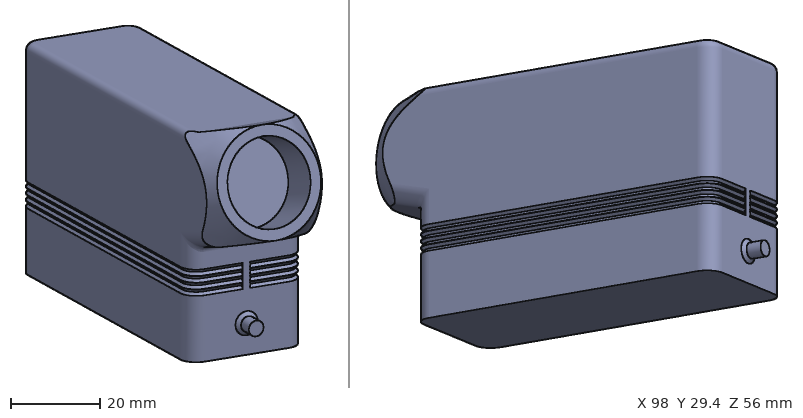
import cadquery as cq
import math

BODY_LENGTH = 79.6
BODY_WIDTH = 29.4
BODY_HEIGHT = 54.0
SIDE_RADIUS = 4.0
TOP_RADIUS = 2.0
NECK_CORNER_RADIUS = 1.6

PEG_RADIUS = 1.9
PEG_LENGTH = 4.5
PEG_HEIGHT = 7.4
PEG_ROOT_RADIUS = 2.8
PEG_ROOT_LENGTH = 0.8

OVERALL_LENGTH = 98.0
OVERALL_HEIGHT = 56.0
NECK_TILT = math.radians(15)
MOUTH_DIAMETER = 26.2
BORE_DIAMETER = 21.0
CONE_HALF_ANGLE = math.radians(32)
CONE_CUT_LENGTH = 11.8
CONE_CUT_RADIUS = 21.6

GROOVE_COUNT = 4
GROOVE_PITCH = 1.6
GROOVE_WIDTH = 1.5
GROOVE_DEPTH = 0.6
BAND_BOTTOM = 15.6
BAND_GAP = 1.9

half_length = BODY_LENGTH / 2
half_width = BODY_WIDTH / 2
slope = math.tan(NECK_TILT)

mouth_low_x = OVERALL_LENGTH - PEG_LENGTH - half_length
mouth_low_z = OVERALL_HEIGHT - MOUTH_DIAMETER * math.cos(NECK_TILT)
mouth_high_x = mouth_low_x - MOUTH_DIAMETER * math.sin(NECK_TILT)
mouth_x = (mouth_low_x + mouth_high_x) / 2
mouth_z = (mouth_low_z + OVERALL_HEIGHT) / 2

top_bend_x = mouth_high_x - (OVERALL_HEIGHT - BODY_HEIGHT) / slope
neck_corner_z = mouth_low_z - (mouth_low_x - half_length) * slope

bore_depth = (mouth_x - half_length) / math.cos(NECK_TILT)

mouth_plane = cq.Plane(
    origin=(mouth_x, 0, mouth_z),
    xDir=(0, 1, 0),
    normal=(math.cos(NECK_TILT), 0, math.sin(NECK_TILT)),
)


def make_shell():
    """Side outline with the neck, extruded across the width and rounded."""
    shell = (
        cq.Workplane("XZ")
        .moveTo(-half_length, 0)
        .lineTo(half_length, 0)
        .lineTo(half_length, neck_corner_z)
        .lineTo(mouth_low_x, mouth_low_z)
        .lineTo(mouth_high_x, OVERALL_HEIGHT)
        .lineTo(top_bend_x, BODY_HEIGHT)
        .lineTo(-half_length, BODY_HEIGHT)
        .close()
        .extrude(half_width, both=True)
    )
    neck_direction = cq.Vector(math.cos(NECK_TILT), 0, math.sin(NECK_TILT))
    along_neck = cq.selectors.ParallelDirSelector(neck_direction)
    below_mouth = cq.selectors.BoxSelector(
        (half_length, -BODY_WIDTH, neck_corner_z),
        (mouth_low_x, BODY_WIDTH, mouth_z),
    )
    vertical = cq.selectors.ParallelDirSelector(cq.Vector(0, 0, 1))
    shell = shell.edges(vertical + (along_neck & below_mouth)).fillet(SIDE_RADIUS)

    top_rim = cq.selectors.BoxSelector(
        (-BODY_LENGTH, -BODY_WIDTH, BODY_HEIGHT - TOP_RADIUS),
        (mouth_high_x - TOP_RADIUS, BODY_WIDTH, OVERALL_HEIGHT),
    )
    top_bend = cq.selectors.NearestToPointSelector((top_bend_x, 0, BODY_HEIGHT))
    shell = shell.edges(top_rim - top_bend).fillet(TOP_RADIUS)

    neck_corner = cq.selectors.NearestToPointSelector((half_length, 0, neck_corner_z))
    return shell.edges(neck_corner).fillet(NECK_CORNER_RADIUS)


def make_mouth_cutter():
    """Material outside a cone that widens from the mouth back into the neck."""
    cone_back_radius = MOUTH_DIAMETER / 2 + CONE_CUT_LENGTH * math.tan(CONE_HALF_ANGLE)
    block = cq.Workplane(mouth_plane).circle(CONE_CUT_RADIUS).extrude(-CONE_CUT_LENGTH)
    cone = (
        cq.Workplane(mouth_plane)
        .circle(MOUTH_DIAMETER / 2)
        .workplane(offset=-CONE_CUT_LENGTH)
        .circle(cone_back_radius)
        .loft()
    )
    return block.cut(cone)


def make_bore():
    """Round cable entry along the neck axis."""
    return cq.Workplane(mouth_plane).circle(BORE_DIAMETER / 2).extrude(-bore_depth)


def make_groove(center_z):
    """V groove around one half of the body, from end gap to end gap on the +Y side."""
    gap_edge = BAND_GAP / 2
    arc_offset = SIDE_RADIUS * (1 - math.sqrt(0.5))
    path = (
        cq.Workplane("XY", origin=(0, 0, center_z))
        .moveTo(-half_length, gap_edge)
        .lineTo(-half_length, half_width - SIDE_RADIUS)
        .threePointArc(
            (-half_length + arc_offset, half_width - arc_offset),
            (-half_length + SIDE_RADIUS, half_width),
        )
        .lineTo(half_length - SIDE_RADIUS, half_width)
        .threePointArc(
            (half_length - arc_offset, half_width - arc_offset),
            (half_length, half_width - SIDE_RADIUS),
        )
        .lineTo(half_length, gap_edge)
    )
    return (
        cq.Workplane("XZ", origin=(-half_length, gap_edge, center_z))
        .moveTo(0, -GROOVE_WIDTH / 2)
        .lineTo(GROOVE_DEPTH, 0)
        .lineTo(0, GROOVE_WIDTH / 2)
        .close()
        .sweep(path)
    )


def make_peg(side):
    """Peg on one end of the body (side is -1 or 1) with a conical root."""
    wall = side * half_length
    root_end = wall + side * PEG_ROOT_LENGTH
    tip = wall + side * PEG_LENGTH
    anchor = wall - side * PEG_ROOT_LENGTH
    return (
        cq.Workplane("XZ", origin=(0, 0, PEG_HEIGHT))
        .moveTo(anchor, 0)
        .lineTo(anchor, PEG_ROOT_RADIUS)
        .lineTo(wall, PEG_ROOT_RADIUS)
        .lineTo(root_end, PEG_RADIUS)
        .lineTo(tip, PEG_RADIUS)
        .lineTo(tip, 0)
        .close()
        .revolve(360, (0, 0, 0), (1, 0, 0))
    )


result = make_shell().cut(make_mouth_cutter()).cut(make_bore())

for index in range(GROOVE_COUNT):
    groove = make_groove(BAND_BOTTOM + GROOVE_WIDTH / 2 + index * GROOVE_PITCH)
    result = result.cut(groove).cut(groove.mirror("XZ"))

for side in (-1, 1):
    result = result.union(make_peg(side))